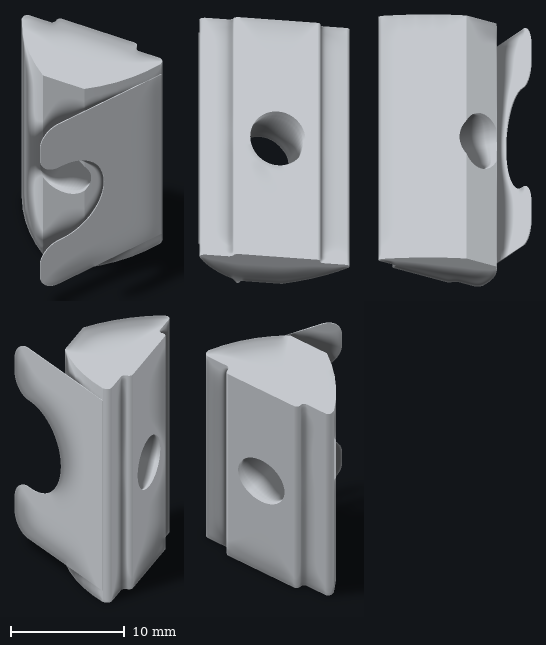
import cadquery as cq
import math

length = 22.0
head_half_width = 3.92
shelf_depth = 0.81
body_depth = 7.2
shelf_half_width = 6.75
flank_start_depth = 1.5
front_half_width = 2.0
flank_bulge = 0.46
step_radius = 0.4
shelf_corner_radius = 0.45
hole_diameter = 5.0

leaf_thickness = 0.09
leaf_angle = math.radians(60)
leaf_root_x = 6.85
leaf_root_y = -flank_start_depth
leaf_tip_y = -12.75
leaf_height = 19.58
leaf_corner_radius = 1.98
notch_radius = 4.49
notch_bottom_y = -6.82


def make_body():
    """Extrude the nut section, round its long edges and drill it through."""
    outline = (
        cq.Workplane("XY")
        .workplane(offset=-length / 2)
        .moveTo(-head_half_width, 0)
        .lineTo(head_half_width, 0)
        .lineTo(head_half_width, -shelf_depth)
        .lineTo(shelf_half_width, -shelf_depth)
        .lineTo(shelf_half_width, -flank_start_depth)
        .sagittaArc((front_half_width, -body_depth), flank_bulge)
        .lineTo(-front_half_width, -body_depth)
        .sagittaArc((-shelf_half_width, -flank_start_depth), flank_bulge)
        .lineTo(-shelf_half_width, -shelf_depth)
        .lineTo(-head_half_width, -shelf_depth)
        .close()
    )
    body = outline.extrude(length)
    for side in (-1, 1):
        for x, y, radius in (
            (head_half_width, 0, step_radius),
            (head_half_width, -shelf_depth, step_radius),
            (shelf_half_width, -shelf_depth, shelf_corner_radius),
        ):
            edge = cq.selectors.NearestToPointSelector((side * x, y, 0))
            body = body.edges("|Z").edges(edge).fillet(radius)
    hole = cq.Workplane("XZ").circle(hole_diameter / 2).extrude(body_depth)
    return body.cut(hole)


def make_leaf():
    """Make the leaf flat in its own inclined plane, with a round-bottomed notch."""
    slope = math.sin(leaf_angle)
    leaf_length = (leaf_root_y - leaf_tip_y) / slope
    notch_center = (leaf_root_y - notch_bottom_y) / slope + notch_radius
    leaf_plane = cq.Plane(
        origin=(leaf_root_x, leaf_root_y, 0),
        xDir=(-math.cos(leaf_angle), -slope, 0),
        normal=(-slope, math.cos(leaf_angle), 0),
    )
    half_height = leaf_height / 2
    outline = (
        cq.Workplane(leaf_plane)
        .moveTo(0, -half_height)
        .lineTo(leaf_length, -half_height)
        .lineTo(leaf_length, -notch_radius)
        .lineTo(notch_center, -notch_radius)
        .threePointArc((notch_center - notch_radius, 0), (notch_center, notch_radius))
        .lineTo(leaf_length, notch_radius)
        .lineTo(leaf_length, half_height)
        .lineTo(0, half_height)
        .close()
    )
    leaf = outline.extrude(leaf_thickness)
    tip_corners = leaf.faces("<Y").edges("not |Z")
    return tip_corners.fillet(leaf_corner_radius)


result = make_body().union(make_leaf())